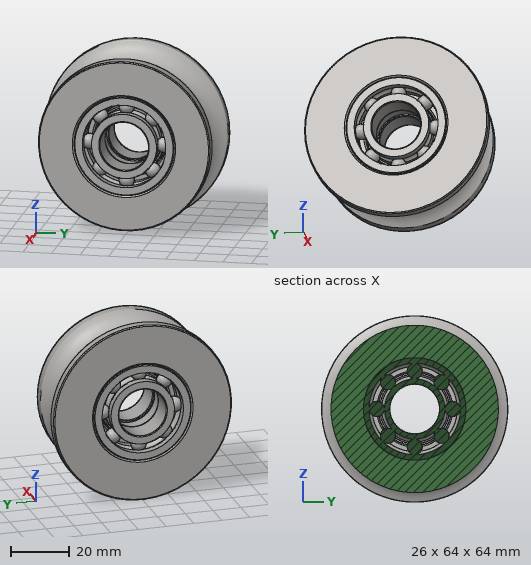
import cadquery as cq
import math


wheel_width = 26.0
large_radius = 32.0
small_radius = 30.0
groove_radius = 10.0
groove_floor_radius = 25.15
groove_center_x = wheel_width / 2
rim_chamfer = 0.4
large_rim_fillet = 0.5
small_rim_fillet = 0.4
shoulder_bore_radius = 12.51
bore_chamfer = 0.6

bearing_width = 10.0
bearing_radius = 17.505
bore_radius = 8.5
outer_land_radius = 14.625
inner_land_radius = 11.4
race_chamfer = 0.3
ball_count = 8
ball_radius = 2.7
ball_bite = 0.05
pitch_radius = (outer_land_radius + inner_land_radius) / 2

spacer_radius = 12.0
spacer_bore_radius = 9.3
spacer_width = wheel_width - 2 * bearing_width


def tube(outer_radius, inner_radius, start_x, length):
    """Plain tube along X."""
    profile = cq.Workplane("YZ").workplane(offset=start_x).circle(outer_radius).circle(inner_radius)
    return profile.extrude(length)


def groove_half_width(rim_radius):
    """Half the width of the round groove where it meets a rim of the given radius."""
    height_to_center = groove_floor_radius + groove_radius - rim_radius
    return math.sqrt(groove_radius**2 - height_to_center**2)


def make_wheel_blank():
    """Solid wheel with rims of unequal height and the round groove between them."""
    large_edge_x = groove_center_x - groove_half_width(large_radius)
    small_edge_x = groove_center_x + groove_half_width(small_radius)
    blank = (
        cq.Workplane("XY")
        .lineTo(0, large_radius)
        .lineTo(large_edge_x, large_radius)
        .threePointArc((groove_center_x, groove_floor_radius), (small_edge_x, small_radius))
        .lineTo(wheel_width, small_radius)
        .lineTo(wheel_width, 0)
        .close()
        .revolve(360, (0, 0, 0), (1, 0, 0))
    )
    blank = blank.faces("<X or >X").edges().chamfer(rim_chamfer)
    blank = round_groove_edge(blank, large_edge_x, large_radius, large_rim_fillet)
    return round_groove_edge(blank, small_edge_x, small_radius, small_rim_fillet)


def round_groove_edge(blank, edge_x, edge_radius, fillet):
    """Round the circular edge where the groove meets one rim."""
    margin = fillet / 2
    box_start = (edge_x - margin, -edge_radius - margin, -edge_radius - margin)
    box_end = (edge_x + margin, edge_radius + margin, edge_radius + margin)
    edge = blank.edges("%CIRCLE").edges(cq.selectors.BoxSelector(box_start, box_end, boundingbox=True))
    return edge.fillet(fillet)


def make_wheel():
    """Wheel with a bearing seat at each end and a narrower shoulder between the seats."""
    shoulder = (
        tube(bearing_radius, shoulder_bore_radius, bearing_width, spacer_width)
        .edges(cq.selectors.RadiusNthSelector(0))
        .chamfer(bore_chamfer)
    )
    seat = tube(large_radius, bearing_radius, 0, wheel_width)
    seat = seat.edges(cq.selectors.RadiusNthSelector(0)).chamfer(bore_chamfer)
    return make_wheel_blank().intersect(seat.union(shoulder))


def make_bearing(start_x):
    """Two chamfered races with a shared ball track, joined by the balls."""
    middle_x = start_x + bearing_width / 2
    outer_race = tube(bearing_radius, outer_land_radius, start_x, bearing_width)
    outer_race = outer_race.edges(cq.selectors.RadiusNthSelector(-1)).chamfer(race_chamfer)
    inner_race = tube(inner_land_radius, bore_radius, start_x, bearing_width)
    inner_race = inner_race.edges(cq.selectors.RadiusNthSelector(0)).chamfer(race_chamfer)

    track_radius = ball_radius - ball_bite
    track = cq.Workplane("XY").center(middle_x, pitch_radius).circle(track_radius)
    track = track.revolve(360, (-middle_x, -pitch_radius, 0), (0.65 - middle_x, -pitch_radius, 0))
    bearing = outer_race.union(inner_race).cut(track)

    for index in range(ball_count):
        angle = 2 * math.pi * index / ball_count
        center_y = pitch_radius * math.cos(angle)
        center_z = pitch_radius * math.sin(angle)
        ball = cq.Workplane("YZ", origin=(middle_x, center_y, center_z)).sphere(ball_radius)
        bearing = bearing.union(ball)
    return bearing


def make_spacer():
    """Sleeve that keeps the two inner races apart."""
    return tube(spacer_radius, spacer_bore_radius, bearing_width, spacer_width)


wheel = make_wheel()
bearings = [make_bearing(start_x) for start_x in (0, wheel_width - bearing_width)]
spacer = make_spacer()

bodies = [wheel, *bearings, spacer]
result = cq.Compound.makeCompound([body.solids().val() for body in bodies])